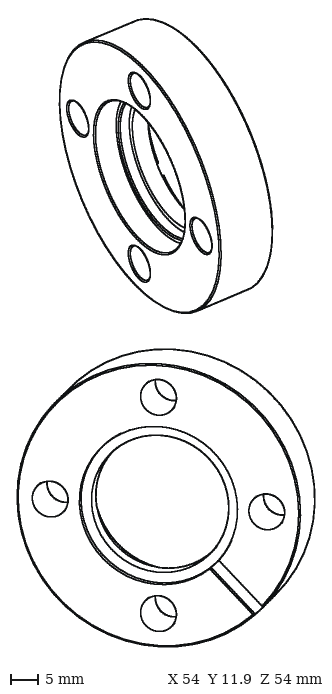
import cadquery as cq
import math

outer_radius = 27.0
thickness = 11.9
edge_chamfer = 0.25
front_y = -thickness / 2
back_y = thickness / 2

housing_bore_radius = 15.05

hole_count = 4
hole_radius = 3.4
hole_circle_radius = 20.65

groove_width = 2.45
groove_depth = 1.0
groove_angle = 225.0

ring_front_setback = 4.85
ring_back_setback = 1.3
ring_front_bore_radius = 14.1
ring_front_bore_depth = 2.25
ring_back_bore_radius = 13.05


def cylinder(radius, length, start_y, x=0.0, z=0.0):
    """Cylinder along +Y, starting at start_y."""
    return cq.Workplane(cq.Solid.makeCylinder(radius, length, cq.Vector(x, start_y, z), cq.Vector(0, 1, 0)))


def entry_chamfer(radius, start_y, x=0.0, z=0.0):
    """Cone that breaks the front edge of a hole at start_y."""
    return cq.Workplane(
        cq.Solid.makeCone(
            radius + edge_chamfer, radius, edge_chamfer, cq.Vector(x, start_y, z), cq.Vector(0, 1, 0)
        )
    )


def make_groove():
    """Cutter for the radial groove, turned about the Y axis."""
    groove = cq.Workplane().box(
        outer_radius, groove_depth, groove_width, centered=(False, False, True)
    )
    return groove.translate((0, back_y - groove_depth, 0)).rotate((0, 0, 0), (0, 1, 0), -groove_angle)


def make_housing():
    body = cylinder(outer_radius, thickness, front_y).edges("%CIRCLE").chamfer(edge_chamfer)
    body = body.cut(cylinder(housing_bore_radius, thickness, front_y))
    body = body.cut(entry_chamfer(housing_bore_radius, front_y))
    for index in range(hole_count):
        angle = 2 * math.pi * index / hole_count
        x = hole_circle_radius * math.cos(angle)
        z = hole_circle_radius * math.sin(angle)
        body = body.cut(cylinder(hole_radius, thickness, front_y, x, z))
        body = body.cut(entry_chamfer(hole_radius, front_y, x, z))
    return body.cut(make_groove())


def make_ring():
    ring_front_y = front_y + ring_front_setback
    ring_length = thickness - ring_front_setback - ring_back_setback
    body = cylinder(housing_bore_radius, ring_length, ring_front_y)
    body = body.cut(cylinder(ring_back_bore_radius, ring_length, ring_front_y))
    body = body.cut(cylinder(ring_front_bore_radius, ring_front_bore_depth, ring_front_y))
    return body.cut(entry_chamfer(ring_front_bore_radius, ring_front_y))


housing = make_housing()
ring = make_ring()

result = cq.Compound.makeCompound([housing.val(), ring.val()])